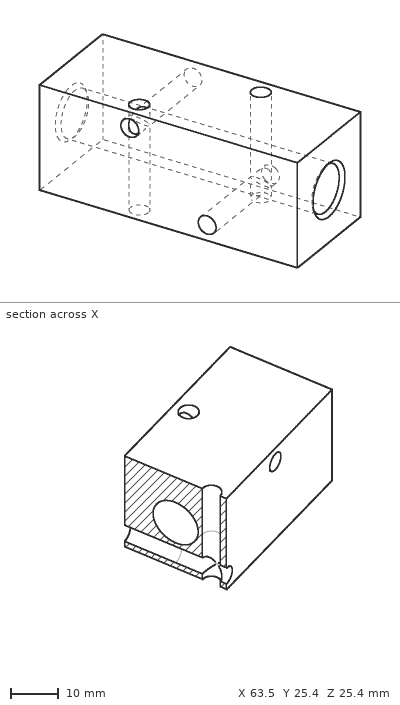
import cadquery as cq

length = 63.5
side = 25.4

bore_diameter = 11.1
mouth_diameter = 12.9
chamfer_depth = (mouth_diameter - bore_diameter) / 2

cross_diameter = 4.4
cross_spacing = 19.05
edge_distance = 3.8
cross_x = cross_spacing / 2
cross_offset = side / 2 - edge_distance


def cross_hole(plane, x, offset):
    """Cylinder through the whole block, normal to the given plane."""
    return cq.Workplane(plane).center(x, offset).circle(cross_diameter / 2).extrude(side, both=True)


bore_radius = bore_diameter / 2
mouth_radius = mouth_diameter / 2
end_x = length / 2
bore = (
    cq.Workplane("XY")
    .moveTo(-end_x, 0)
    .lineTo(-end_x, mouth_radius)
    .lineTo(-end_x + chamfer_depth, bore_radius)
    .lineTo(end_x - chamfer_depth, bore_radius)
    .lineTo(end_x, mouth_radius)
    .lineTo(end_x, 0)
    .close()
    .revolve(360, (0, 0, 0), (1, 0, 0))
)

result = cq.Workplane("XY").box(length, side, side).cut(bore)

for sign in (-1, 1):
    result = result.cut(cross_hole("XY", sign * cross_x, sign * cross_offset))
    result = result.cut(cross_hole("XZ", sign * cross_x, -sign * cross_offset))